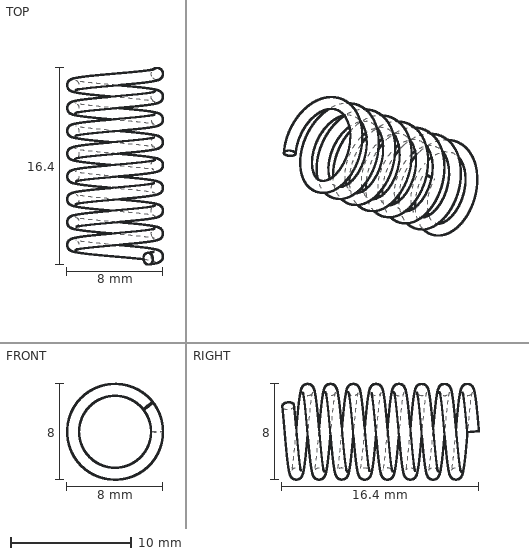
import cadquery as cq
import math

overall_length = 16.4
outer_diameter = 8.0
wire_diameter = 1.0
whole_turns = 8
extra_angle = 38.0

coil_radius = (outer_diameter - wire_diameter) / 2
turns = whole_turns + extra_angle / 360
coil_travel = overall_length - wire_diameter
pitch = coil_travel / turns


def make_coil():
    """Sweep the wire along a right-handed helix that rises along Z from +X."""
    helix = cq.Wire.makeHelix(pitch, coil_travel, coil_radius)
    start_plane = cq.Plane(
        origin=(coil_radius, 0, 0),
        xDir=(1, 0, 0),
        normal=(0, 2 * math.pi * coil_radius, pitch),
    )
    section = cq.Workplane(start_plane).circle(wire_diameter / 2)
    return section.sweep(cq.Workplane(helix), isFrenet=True)


result = (
    make_coil()
    .rotate((0, 0, 0), (1, 0, 0), 90)
    .translate((0, coil_travel / 2, 0))
)